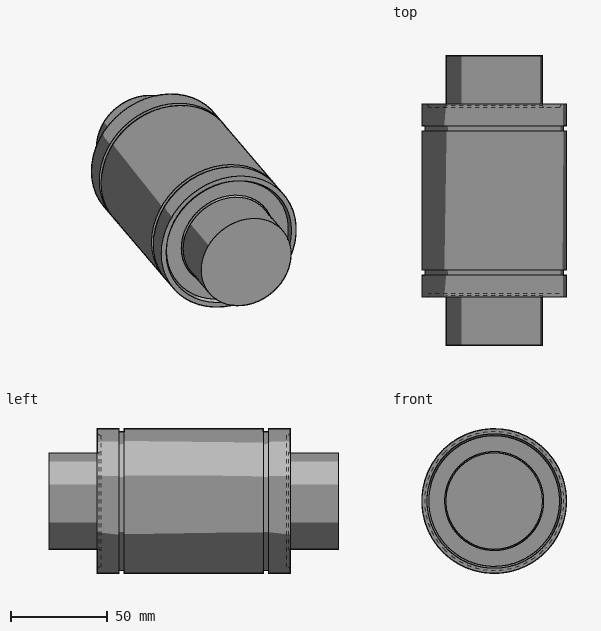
import cadquery as cq

shaft_length = 150.0
shaft_diameter = 50.0
sleeve_diameter = 75.0
sleeve_length = 100.0

groove_diameter = 72.0
groove_width = 2.5
groove_outer_span = 77.2

recess_mouth_diameter = 69.6
recess_floor_diameter = 67.6
recess_depth = 2.0

lip_base_diameter = 51.3
lip_height = 1.0

shaft_radius = shaft_diameter / 2
sleeve_radius = sleeve_diameter / 2
groove_radius = groove_diameter / 2
shaft_end = shaft_length / 2
sleeve_end = sleeve_length / 2
groove_outer_edge = groove_outer_span / 2
groove_inner_edge = groove_outer_edge - groove_width
recess_floor = sleeve_end - recess_depth
lip_top = recess_floor + lip_height

half_outline = [
    (sleeve_radius, groove_inner_edge),
    (groove_radius, groove_inner_edge),
    (groove_radius, groove_outer_edge),
    (sleeve_radius, groove_outer_edge),
    (sleeve_radius, sleeve_end),
    (recess_mouth_diameter / 2, sleeve_end),
    (recess_floor_diameter / 2, recess_floor),
    (lip_base_diameter / 2, recess_floor),
    (shaft_radius, lip_top),
    (shaft_radius, shaft_end),
    (0, shaft_end),
]

mirrored_outline = [(radius, -station) for radius, station in reversed(half_outline)]

result = (
    cq.Workplane("XY")
    .polyline(half_outline + mirrored_outline)
    .close()
    .revolve(360, (0, 0, 0), (0, 1, 0))
)